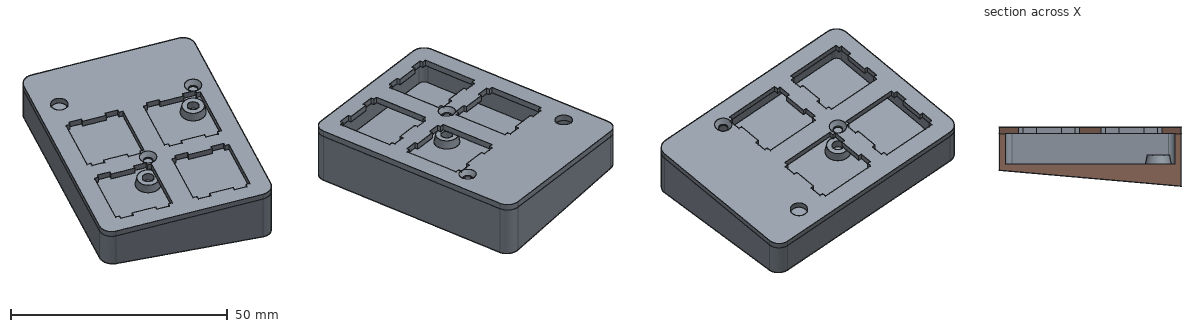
import cadquery as cq
import math

KEY_PITCH = 19.05
KEYS_PER_SIDE = 2
KEY_FIELD = KEYS_PER_SIDE * KEY_PITCH
MARGIN = 2.0
BAY_WIDTH = 14.31

LENGTH = KEY_FIELD + BAY_WIDTH + 2 * MARGIN
WIDTH = KEY_FIELD + 2 * MARGIN
CORNER_RADIUS = 3.0

FRONT_HEIGHT = 10.0
TILT = math.radians(5)
BACK_DROP = WIDTH * math.tan(TILT)
PLATE_THICKNESS = 1.5
FLOOR_THICKNESS = 1.5
WALL = 1.5
PLATE_BOTTOM = FRONT_HEIGHT - PLATE_THICKNESS

CUTOUT = 14.0
NOTCHED_WIDTH = 15.6
NOTCH_INNER = 2.9
NOTCH_OUTER = 6.0
NOTCH_WIDTH = NOTCH_OUTER - NOTCH_INNER
NOTCH_OFFSET = (NOTCH_OUTER + NOTCH_INNER) / 2
KEY_FIELD_X = LENGTH / 2 - MARGIN - KEY_FIELD / 2

SCREW_POINTS = [(-12.08, 15.72), (7.18, -2.43)]
SCREW_CLEARANCE = 2.2
SCREW_HEAD = 4.0
COUNTERSINK_ANGLE = 78
STANDOFF_BASE = 6.0
STANDOFF_TOP = 5.2
STANDOFF_HEIGHT = 2.0
STANDOFF_BORE = 2.7

ACCESS_HOLE = 4.0
ACCESS_POINT = (-16.68, -15.48)


def rounded_block(length, width, radius, bottom, top):
    """Upright block with rounded vertical edges, spanning two heights."""
    block = cq.Workplane("XY", origin=(0, 0, bottom)).rect(length, width).extrude(top - bottom)
    return block.edges("|Z").fillet(radius)


def make_wedge_cutter():
    """Triangular prism below the sloping underside of the case."""
    profile = [
        (-WIDTH / 2, 0),
        (WIDTH / 2, -BACK_DROP),
        (-WIDTH / 2, -BACK_DROP),
    ]
    return cq.Workplane("YZ").polyline(profile).close().extrude(LENGTH / 2, both=True)


def make_standoff(x, y):
    """Tapered screw post standing on the case floor, bored down to floor level."""
    base = cq.Workplane("XY", origin=(x, y, FLOOR_THICKNESS))
    post = base.circle(STANDOFF_BASE / 2).workplane(offset=STANDOFF_HEIGHT)
    post = post.circle(STANDOFF_TOP / 2).loft()
    bore = base.circle(STANDOFF_BORE / 2).extrude(STANDOFF_HEIGHT)
    return post.cut(bore)


def make_case():
    """Open-topped tray with a level floor inside and a tilted underside."""
    case = rounded_block(LENGTH, WIDTH, CORNER_RADIUS, -BACK_DROP, PLATE_BOTTOM)
    case = case.cut(make_wedge_cutter())
    cavity = rounded_block(
        LENGTH - 2 * WALL, WIDTH - 2 * WALL, CORNER_RADIUS - WALL, FLOOR_THICKNESS, PLATE_BOTTOM
    )
    case = case.cut(cavity)
    for x, y in SCREW_POINTS:
        case = case.union(make_standoff(x, y))
    return case


def make_key_prisms(length, width, offset):
    """Plate-deep rectangular prisms, one per key, shifted along Y from the key centres."""
    keys = cq.Workplane("XY", origin=(KEY_FIELD_X, offset, PLATE_BOTTOM)).rarray(
        KEY_PITCH, KEY_PITCH, KEYS_PER_SIDE, KEYS_PER_SIDE
    )
    return keys.rect(length, width).extrude(PLATE_THICKNESS)


def make_switch_cutter():
    """Notched square prisms, one at each place in the key grid."""
    cutter = make_key_prisms(CUTOUT, CUTOUT, 0)
    for offset in (-NOTCH_OFFSET, NOTCH_OFFSET):
        cutter = cutter.union(make_key_prisms(NOTCHED_WIDTH, NOTCH_WIDTH, offset))
    return cutter


def make_plate():
    """Switch plate covering the case."""
    plate = rounded_block(LENGTH, WIDTH, CORNER_RADIUS, PLATE_BOTTOM, FRONT_HEIGHT)
    plate = plate.cut(make_switch_cutter())
    top = cq.Workplane("XY", origin=(0, 0, FRONT_HEIGHT))
    access = top.center(*ACCESS_POINT).circle(ACCESS_HOLE / 2).extrude(-PLATE_THICKNESS)
    plate = plate.cut(access)
    plate = plate.faces(">Z").workplane(origin=(0, 0, FRONT_HEIGHT)).pushPoints(SCREW_POINTS)
    return plate.cskHole(SCREW_CLEARANCE, SCREW_HEAD, COUNTERSINK_ANGLE)


case = make_case()
plate = make_plate()
result = cq.Compound.makeCompound([case.val(), plate.val()])